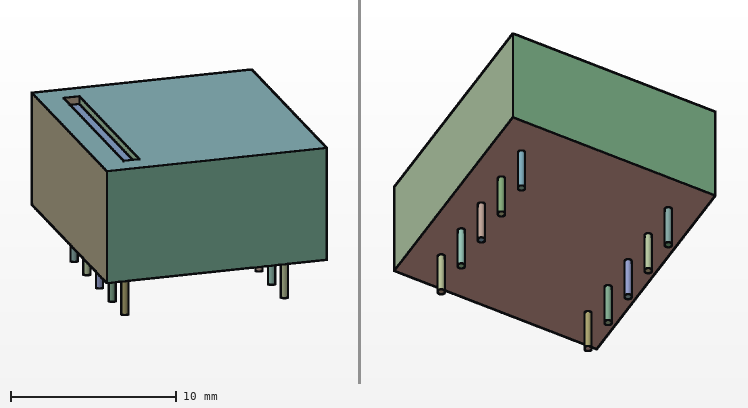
import cadquery as cq

body_length = 15.0
body_width = 14.0
body_height = 7.2

pin_diameter = 0.45
pin_length = 3.0
pins_per_row = 5
pin_pitch = 2.54
row_count = 2
row_spacing = (pins_per_row - 1) * pin_pitch

slot_length = 12.0
slot_width = 1.0
slot_depth = 0.5
slot_front_margin = 1.55
slot_center_y = -body_width / 2 + slot_front_margin + slot_width / 2


def make_body():
    """Block with its bottom face at Z = 0."""
    return cq.Workplane("XY").box(body_length, body_width, body_height, centered=(True, True, False))


def make_slot():
    """Volume removed from the top face."""
    return (
        cq.Workplane("XY", origin=(0, slot_center_y, body_height))
        .rect(slot_length, slot_width)
        .extrude(-slot_depth)
    )


def make_pins():
    """Both pin rows, running down from the bottom face."""
    return (
        cq.Workplane("XY")
        .rarray(pin_pitch, row_spacing, pins_per_row, row_count)
        .circle(pin_diameter / 2)
        .extrude(-pin_length)
    )


result = make_body().cut(make_slot()).union(make_pins())